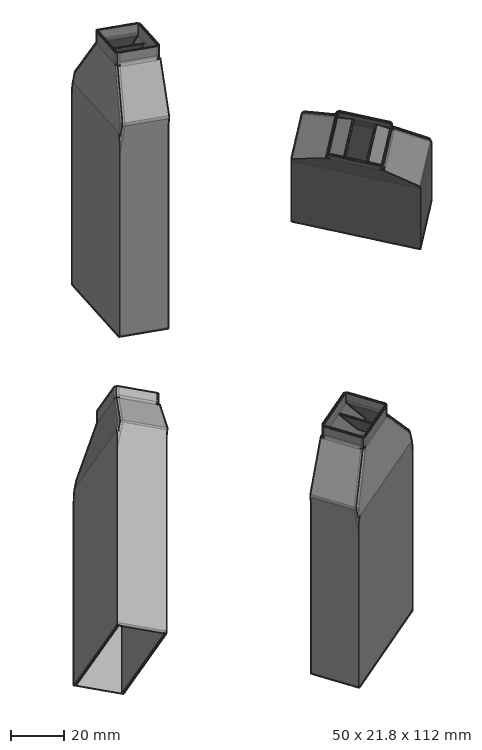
import cadquery as cq

height = 112.0
body_width = 50.0
body_depth = 19.7
neck_width = 21.8
neck_front = 4.0
neck_back = 21.8
wall = 0.7

side_knee_z = 88.9
side_neck_z = 107.3
slope_knee_z = 85.2
slope_neck_z = 106.8

edge_radius = 1.5
side_knee_radius = 1.8
side_neck_radius = 2.7
bottom_radius = 1.0

vane_gap = 8.1
vane_top_z = 106.3
vane_bottom_z = side_knee_z
vane_thickness = 0.7

margin = 22.4


def width_prism(inset):
    """Width outline through Y, with its sides moved inward and its bends rounded."""
    half_body = body_width / 2 - inset
    half_neck = neck_width / 2 - inset
    knee_radius = side_knee_radius - inset
    neck_radius = side_neck_radius + inset
    prism = (
        cq.Workplane("XZ", origin=(0, neck_back - inset, 0))
        .moveTo(-half_body, 0)
        .lineTo(half_body, 0)
        .lineTo(half_body, side_knee_z)
        .lineTo(half_neck, side_neck_z)
        .lineTo(half_neck, height)
        .lineTo(-half_neck, height)
        .lineTo(-half_neck, side_neck_z)
        .lineTo(-half_body, side_knee_z)
        .close()
        .extrude(neck_back + margin)
    )
    for z, radius in ((side_knee_z, knee_radius), (side_neck_z, neck_radius)):
        band = cq.selectors.BoxSelector((-body_width, -margin * 2, z - 1.1), (body_width, margin * 2, z + 1.1))
        prism = prism.edges("|Y").edges(band).fillet(radius)
    return prism


def depth_prism(points):
    """Closed YZ outline extruded across the full width."""
    return cq.Workplane("YZ").polyline(points).close().extrude(body_width, both=True)


def slice_behind(inset, base_y, top_y):
    """Width prism behind a flat front that runs from base_y at the base to top_y at the top."""
    back = neck_back + margin
    space = depth_prism([
        (base_y + inset, 0),
        (top_y + inset, height),
        (back, height),
        (back, 0),
    ])
    return width_prism(inset).intersect(space)


def neck_slice(inset):
    return slice_behind(inset, neck_front, neck_front)


def shoulder_slice(inset):
    """The sloping front runs on down to the base and up through the neck."""
    slope = neck_front / (slope_neck_z - slope_knee_z)
    return slice_behind(inset, -slope * slope_knee_z, slope * (height - slope_knee_z))


def depth_envelope(inset):
    """Space between the flat body faces, with the sloping back; the front stays clear of the neck."""
    return depth_prism([
        (inset, 0),
        (inset, height),
        (neck_back - inset, height),
        (neck_back - inset, slope_neck_z),
        (body_depth - inset, slope_knee_z),
        (body_depth - inset, 0),
    ])


def make_outer():
    front_edges = cq.selectors.BoxSelector((-body_width, -margin, 0), (body_width, neck_back / 2, height))
    shoulder = shoulder_slice(0).edges("not(|X or |Y)").edges(front_edges).fillet(edge_radius)
    neck = neck_slice(0).edges("not(|X or |Y)").fillet(edge_radius)
    below_neck = cq.Workplane().box(body_width, 4 * neck_back, 2 * slope_neck_z)
    block = shoulder.intersect(below_neck).union(neck).intersect(depth_envelope(0))
    return block.edges("|Y and <Z").fillet(bottom_radius)


def make_cavity():
    return shoulder_slice(wall).union(neck_slice(wall)).intersect(depth_envelope(wall))


def make_vane(side):
    """Plate parallel to the shoulder side, spanning the cavity from front to back."""
    run = (body_width - neck_width) / 2 / (side_neck_z - side_knee_z) * (vane_top_z - vane_bottom_z)
    top_x = vane_gap / 2
    return (
        cq.Workplane("XZ", origin=(0, neck_back, 0))
        .polyline([
            (side * top_x, vane_top_z),
            (side * (top_x + vane_thickness), vane_top_z),
            (side * (top_x + vane_thickness + run), vane_bottom_z),
            (side * (top_x + run), vane_bottom_z),
        ])
        .close()
        .extrude(neck_back)
    )


outer = make_outer()
result = outer.cut(make_cavity())
for side in (-1, 1):
    result = result.union(make_vane(side).intersect(outer))